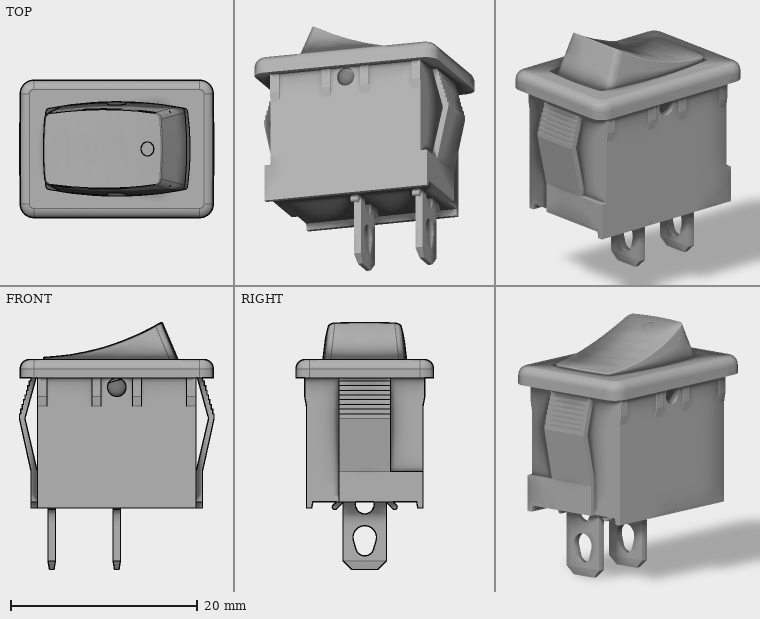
import cadquery as cq
import math


flange_length = 20.77
flange_width = 14.8
flange_height = 2.0
flange_corner_radius = 1.5
flange_edge_radius = 1.0

body_length = 17.05
body_width = 12.55
body_depth = 13.3
skirt_drop = 0.7
skirt_thickness = 0.72
skirt_tip_thickness = 0.58

rib_width = 1.0
rib_height = 0.173
rib_straight_depth = 2.02
rib_depth = 3.0
inner_rib_x = 2.18
outer_rib_x = (body_length - rib_width) / 2

ledge_depth = 10.05
ledge_thickness = 0.7
arm_half_width = 2.8
arm_elbow_x = 10.46
arm_thickness = 0.6
arm_top_x = 9.27
arm_elbow_depth = 4.35
step_count = 8
step_height = 0.5

opening_half_length = 7.9
opening_half_width = 5.07
opening_corner_x = 7.57
opening_corner_y = 4.3
opening_corner_radius = 0.4
cavity_depth = 5.3

pivot_diameter = 2.0
pivot_depth = pivot_diameter / 2
rocker_tilt = 16.6
rocker_base_z = -1.38
rocker_end_z = 5.35
rocker_dish = 0.85
rocker_trim = 0.27
rocker_half_length = 7.45
rocker_half_width = 5.0
rocker_corner_x = 7.17
rocker_corner_y = 4.52
rocker_corner_radius = 0.77
rocker_draft = 6.6
rocker_edge_radius = 0.1
dot_diameter = 1.51
dot_x = 4.91
dot_depth = 0.03

pin_recess = 0.27
pin_bevel_angle = 23
pin_bevel_start = 0.7

terminal_thickness = 0.82
terminal_half_width = 2.35
terminal_tip_depth = 20.58
terminal_chamfer = 0.93
terminal_tip_thickness = 0.5
terminal_x = (-6.99, 0)
terminal_root = 1.33
round_hole_diameter = 2.0
round_hole_depth = 13.6
slot_top_radius = 1.25
slot_top_depth = 17.13
slot_bottom_radius = 0.98
slot_bottom_depth = 18.11
barb_length = 1.33
barb_thickness = 0.55
barb_tip_y = 3.21
barb_tip_depth = 13.86


def bowed_rectangle(plane, half_length, half_width, corner_x, corner_y):
    """Closed outline of four outward-bowed arcs meeting at the corners."""
    return (
        plane.moveTo(-corner_x, -corner_y)
        .threePointArc((0, -half_width), (corner_x, -corner_y))
        .threePointArc((half_length, 0), (corner_x, corner_y))
        .threePointArc((0, half_width), (-corner_x, corner_y))
        .threePointArc((-half_length, 0), (-corner_x, -corner_y))
        .close()
    )


def both_sides(solid, mirror_plane):
    return solid.union(solid.mirror(mirror_plane))


def make_flange():
    return (
        cq.Workplane("XY")
        .rect(flange_length, flange_width)
        .extrude(flange_height)
        .edges("|Z").fillet(flange_corner_radius)
        .faces(">Z").edges().fillet(flange_edge_radius)
    )


def make_skirt(length):
    """Strip hanging below the back wall, tapered on its inner side."""
    outer_y = body_width / 2
    return (
        cq.Workplane("YZ", origin=(-length / 2, 0, 0))
        .polyline([
            (outer_y, -body_depth),
            (outer_y, -body_depth - skirt_drop),
            (outer_y - skirt_tip_thickness, -body_depth - skirt_drop),
            (outer_y - skirt_thickness, -body_depth),
        ])
        .close()
        .extrude(length)
    )


def make_body():
    body = cq.Workplane("XY").rect(body_length, body_width).extrude(-body_depth)
    return body.union(both_sides(make_skirt(body_length), "XZ"))


def make_ribs():
    wall_y = body_width / 2
    rib = (
        cq.Workplane("YZ", origin=(-rib_width / 2, 0, 0))
        .polyline([
            (wall_y, 0),
            (wall_y + rib_height, 0),
            (wall_y + rib_height, -rib_straight_depth),
            (wall_y, -rib_depth),
        ])
        .close()
        .extrude(rib_width)
    )
    ribs = cq.Workplane("XY")
    for x in (-outer_rib_x, -inner_rib_x, inner_rib_x, outer_rib_x):
        ribs = ribs.add(rib.translate((x, 0, 0)))
    return both_sides(ribs.combine(), "XZ")


def make_ledges():
    """Bars on the end walls; each runs from the arm to the back wall and its skirt."""
    length = body_length + 2 * ledge_thickness
    bar_width = body_width / 2 + arm_half_width
    bars = (
        cq.Workplane("XY")
        .box(length, bar_width, body_depth - ledge_depth, centered=(True, False, False))
        .translate((0, -arm_half_width, -body_depth))
    )
    return bars.union(make_skirt(length))


def make_arms():
    """Bent spring arms with a stepped grip on the upper outer side."""
    ledge_x = body_length / 2 + ledge_thickness
    step_run = (arm_elbow_x - arm_top_x) / step_count
    outline = [(ledge_x, -ledge_depth), (arm_elbow_x, -arm_elbow_depth)]
    for step in range(1, step_count + 1):
        z = -arm_elbow_depth + step * step_height
        outline.append((arm_elbow_x - (step - 1) * step_run, z))
        outline.append((arm_elbow_x - step * step_run, z))
    outline += [
        (arm_top_x - step_run / 2, 0),
        (arm_top_x - arm_thickness, 0),
        (arm_elbow_x - arm_thickness, -arm_elbow_depth),
        (ledge_x - ledge_thickness, -ledge_depth),
    ]
    arm = (
        cq.Workplane("XZ")
        .polyline(outline)
        .close()
        .extrude(arm_half_width, both=True)
    )
    return both_sides(arm, "YZ")


def make_cavity():
    return (
        bowed_rectangle(
            cq.Workplane("XY", origin=(0, 0, -cavity_depth)),
            opening_half_length, opening_half_width, opening_corner_x, opening_corner_y,
        )
        .extrude(cavity_depth + flange_height)
        .edges("|Z").fillet(opening_corner_radius)
    )


def place_on_pivot(shape):
    """Tilt a shape from the rocker frame and move it to the pivot axis."""
    return shape.rotate((0, 0, 0), (0, 1, 0), -rocker_tilt).translate((0, 0, -pivot_depth))


def make_rocker():
    draft_inset = (rocker_end_z - rocker_base_z) * math.tan(math.radians(rocker_draft))
    half_chord = rocker_half_length - draft_inset
    dish_radius = (half_chord**2 + rocker_dish**2) / (2 * rocker_dish)
    dish_z = rocker_end_z - rocker_dish + dish_radius

    blank_height = rocker_end_z - rocker_base_z + rocker_trim
    blank = (
        bowed_rectangle(
            cq.Workplane("XY"),
            rocker_half_length, rocker_half_width, rocker_corner_x, rocker_corner_y,
        )
        .extrude(blank_height, taper=rocker_draft)
        .translate((0, 0, rocker_base_z))
    )
    blank = blank.edges("not (<Z or >Z)").fillet(rocker_corner_radius)
    dish = (
        cq.Workplane("XZ", origin=(0, 0, dish_z))
        .circle(dish_radius)
        .extrude(rocker_half_width * 2, both=True)
    )
    rocker = blank.cut(dish).faces(">Z").edges().fillet(rocker_edge_radius)
    dot = (
        cq.Workplane("XY", origin=(dot_x, 0, 0))
        .circle(dot_diameter / 2)
        .extrude(rocker_end_z)
        .intersect(
            cq.Workplane("XZ", origin=(0, 0, dish_z))
            .circle(dish_radius + dot_depth)
            .extrude(dot_diameter, both=True)
        )
    )
    return place_on_pivot(rocker.cut(dot))


def make_pins():
    return (
        cq.Workplane("XZ", origin=(0, 0, -pivot_depth))
        .circle(pivot_diameter / 2)
        .extrude(body_width / 2, both=True)
    )


def make_pin_holes():
    """Space left in the wall holes outside the bevelled pin ends."""
    hole = cq.Workplane("XZ").circle(pivot_diameter / 2).extrude(body_width / 2, both=True)
    end_y = body_width / 2 - pin_recess
    bevel_drop = pivot_diameter / 2 + pin_bevel_start
    bevel_y = end_y - bevel_drop * math.tan(math.radians(pin_bevel_angle))
    outside = (
        cq.Workplane("YZ", origin=(-pivot_diameter, 0, 0))
        .polyline([
            (body_width, pivot_diameter),
            (end_y, pivot_diameter),
            (end_y, pin_bevel_start),
            (bevel_y, -pivot_diameter / 2),
            (body_width, -pivot_diameter / 2),
        ])
        .close()
        .extrude(2 * pivot_diameter)
    )
    return place_on_pivot(hole.intersect(both_sides(outside, "XZ")))


def make_barb():
    """Short round-ended finger sloping down and outward at 45 degrees."""
    return (
        cq.Workplane("YZ")
        .slot2D(barb_length + barb_thickness, barb_thickness)
        .extrude(terminal_thickness / 2, both=True)
        .translate((0, -barb_length / 2, 0))
        .rotate((0, 0, 0), (1, 0, 0), -45)
        .translate((0, barb_tip_y, -barb_tip_depth))
    )


def make_slot():
    """Teardrop hole: two circles joined by their common tangents."""
    slope = (slot_top_radius - slot_bottom_radius) / (slot_bottom_depth - slot_top_depth)
    across = math.sqrt(1 - slope**2)
    top_y = slot_top_radius * across
    top_z = -slot_top_depth - slot_top_radius * slope
    bottom_y = slot_bottom_radius * across
    bottom_z = -slot_bottom_depth - slot_bottom_radius * slope
    return (
        cq.Workplane("YZ")
        .moveTo(-top_y, top_z)
        .threePointArc((0, -slot_top_depth + slot_top_radius), (top_y, top_z))
        .lineTo(bottom_y, bottom_z)
        .threePointArc((0, -slot_bottom_depth - slot_bottom_radius), (-bottom_y, bottom_z))
        .close()
        .extrude(terminal_thickness, both=True)
    )


def make_terminal():
    root_z = -body_depth + terminal_root
    shoulder_z = -terminal_tip_depth + terminal_chamfer
    side = terminal_half_width
    half = terminal_thickness / 2
    tip = side - terminal_chamfer
    blade = (
        cq.Workplane("YZ")
        .polyline([
            (-side, root_z), (-side, shoulder_z), (-tip, -terminal_tip_depth),
            (tip, -terminal_tip_depth), (side, shoulder_z), (side, root_z),
        ])
        .close()
        .extrude(half, both=True)
    )
    half_tip = terminal_tip_thickness / 2
    thinned = (
        cq.Workplane("XZ")
        .polyline([
            (-half, root_z), (-half, shoulder_z), (-half_tip, -terminal_tip_depth),
            (half_tip, -terminal_tip_depth), (half, shoulder_z), (half, root_z),
        ])
        .close()
        .extrude(side, both=True)
    )
    round_hole = (
        cq.Workplane("YZ", origin=(0, 0, -round_hole_depth))
        .circle(round_hole_diameter / 2)
        .extrude(terminal_thickness, both=True)
    )
    blade = blade.intersect(thinned).cut(round_hole).cut(make_slot())
    return blade.union(both_sides(make_barb(), "XZ"))


result = make_flange()
for housing_part in (make_body(), make_ribs(), make_ledges(), make_arms()):
    result = result.union(housing_part)
result = result.cut(make_cavity())
result = result.union(make_pins()).union(make_rocker()).cut(make_pin_holes())
for x in terminal_x:
    result = result.union(make_terminal().translate((x, 0, 0)))